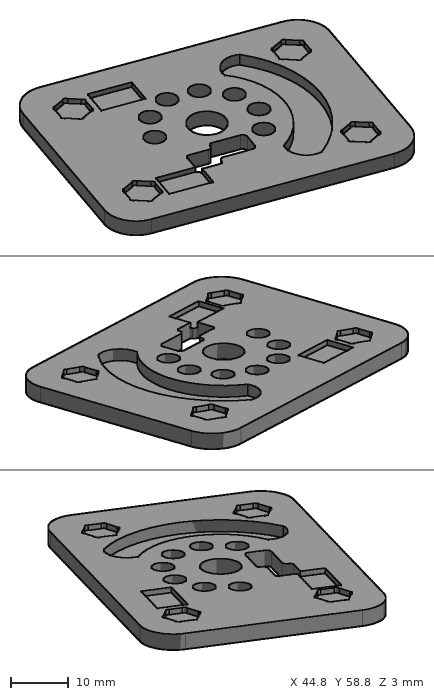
import cadquery as cq
import math

WIDTH = 44.75
LENGTH = 58.75
THICKNESS = 3.0
CORNER_RADIUS = 6.1

DIAL_Y = -1.95
CENTRE_HOLE_DIAMETER = 7.2
RING_RADIUS = 10.0
RING_HOLE_DIAMETER = 4.0
RING_POSITIONS = 10
FIRST_RING_POSITION = -1
LAST_RING_POSITION = 5

ARC_OUTER_RADIUS = 21.75
ARC_INNER_RADIUS = 15.0
ARC_OUTER_END_ANGLE = 40.7
ARC_INNER_END_ANGLE = 37.3
ARC_END_BULGE = 1.95
ARC_DEPTH = 2.2

NUT_ACROSS_FLATS = 6.0
NUT_SPACING_X = 27.85
NUT_SPACING_Y = 41.8
NUT_DEPTH = 1.0
NUT_RELIEF_RADIUS = 0.5

SLOT_WIDTH = 4.75
SLOT_LEFT = 5.8
SLOT_STEP_X = 1.65
SLOT_TOP = 2.6
SLOT_BOTTOM = -9.6
SLOT_LEFT_STEP_Y = -4.4
SLOT_RIGHT_STEP_Y = -4.65
SLOT_NOTCH_X = 11.45
SLOT_NOTCH_Y = -8.8
SLOT_LARGE_FILLET = 0.9
SLOT_SMALL_FILLET = 0.6
SLOT_NOTCH_FILLET = 0.4
SLOT_NOTCH_END_FILLET = 0.3

RECT_LENGTH = 8.45
RECT_DEPTH = 1.0
LEFT_RECT_WIDTH = 5.6
LEFT_RECT_CENTRE = (-14.1, -12.5)
RIGHT_RECT_WIDTH = 5.4
RIGHT_RECT_CENTRE = (14.05, -12.9)


def floor_plane(depth):
    """Workplane facing +Z at the given depth below the top face."""
    return cq.Workplane("XY").workplane(offset=THICKNESS - depth)


def dial_point(radius, angle):
    """Point at a polar position about the dial centre, with the angle in degrees from +X."""
    turn = math.radians(angle)
    return (radius * math.cos(turn), DIAL_Y + radius * math.sin(turn))


def mirrored(point):
    """The same point on the other side of the Y axis."""
    return (-point[0], point[1])


def make_plate():
    plate = cq.Workplane("XY").box(WIDTH, LENGTH, THICKNESS, centered=(True, True, False))
    return plate.edges("|Z").fillet(CORNER_RADIUS)


def make_dial_holes():
    pitch = 360 / RING_POSITIONS
    positions = range(FIRST_RING_POSITION, LAST_RING_POSITION + 1)
    centres = [dial_point(RING_RADIUS, 90 + pitch * position) for position in positions]
    ring = cq.Workplane("XY").pushPoints(centres).circle(RING_HOLE_DIAMETER / 2).extrude(THICKNESS)
    centre = cq.Workplane("XY").center(0, DIAL_Y).circle(CENTRE_HOLE_DIAMETER / 2).extrude(THICKNESS)
    return ring.union(centre)


def make_arc_pocket():
    outer_end = dial_point(ARC_OUTER_RADIUS, ARC_OUTER_END_ANGLE)
    inner_end = dial_point(ARC_INNER_RADIUS, ARC_INNER_END_ANGLE)
    return (
        floor_plane(ARC_DEPTH)
        .moveTo(*mirrored(outer_end))
        .threePointArc(dial_point(ARC_OUTER_RADIUS, 90), outer_end)
        .sagittaArc(inner_end, ARC_END_BULGE)
        .threePointArc(dial_point(ARC_INNER_RADIUS, 90), mirrored(inner_end))
        .sagittaArc(mirrored(outer_end), ARC_END_BULGE)
        .close()
        .extrude(ARC_DEPTH)
    )


def make_nut_pockets():
    corner_radius = NUT_ACROSS_FLATS / 2 / math.cos(math.pi / 6)
    pocket = floor_plane(NUT_DEPTH).polygon(6, 2 * corner_radius).extrude(NUT_DEPTH)
    reliefs = (
        floor_plane(NUT_DEPTH)
        .polarArray(corner_radius - NUT_RELIEF_RADIUS, 0, 360, 6)
        .circle(NUT_RELIEF_RADIUS)
        .extrude(NUT_DEPTH)
    )
    relieved_pocket = pocket.union(reliefs).val()
    return (
        cq.Workplane("XY")
        .rect(NUT_SPACING_X, NUT_SPACING_Y, forConstruction=True)
        .vertices()
        .eachpoint(lambda place: relieved_pocket.moved(place), combine=True)
    )


def make_stepped_slot():
    upper_right = SLOT_LEFT + SLOT_WIDTH
    lower_left = SLOT_LEFT + SLOT_STEP_X
    lower_right = lower_left + SLOT_WIDTH
    rounded_corners = [
        (SLOT_LEFT, SLOT_TOP, SLOT_LARGE_FILLET),
        (upper_right, SLOT_TOP, SLOT_LARGE_FILLET),
        (upper_right, SLOT_RIGHT_STEP_Y, SLOT_LARGE_FILLET),
        (lower_right, SLOT_RIGHT_STEP_Y, SLOT_SMALL_FILLET),
        (lower_right, SLOT_NOTCH_Y, SLOT_NOTCH_END_FILLET),
        (SLOT_NOTCH_X, SLOT_NOTCH_Y, SLOT_NOTCH_FILLET),
        (SLOT_NOTCH_X, SLOT_BOTTOM, SLOT_NOTCH_END_FILLET),
        (lower_left, SLOT_BOTTOM, SLOT_SMALL_FILLET),
        (lower_left, SLOT_LEFT_STEP_Y, SLOT_LARGE_FILLET),
        (SLOT_LEFT, SLOT_LEFT_STEP_Y, SLOT_SMALL_FILLET),
    ]
    outline = [(x, y) for x, y, _ in rounded_corners]
    slot = cq.Workplane("XY").polyline(outline).close().extrude(THICKNESS)
    for x, y, radius in rounded_corners:
        corner = cq.selectors.NearestToPointSelector((x, y, THICKNESS / 2))
        slot = slot.edges("|Z").edges(corner).fillet(radius)
    return slot


def make_rect_pocket(width, centre):
    return floor_plane(RECT_DEPTH).center(*centre).rect(width, RECT_LENGTH).extrude(RECT_DEPTH)


result = (
    make_plate()
    .cut(make_dial_holes())
    .cut(make_arc_pocket())
    .cut(make_nut_pockets())
    .cut(make_stepped_slot())
    .cut(make_rect_pocket(LEFT_RECT_WIDTH, LEFT_RECT_CENTRE))
    .cut(make_rect_pocket(RIGHT_RECT_WIDTH, RIGHT_RECT_CENTRE))
)